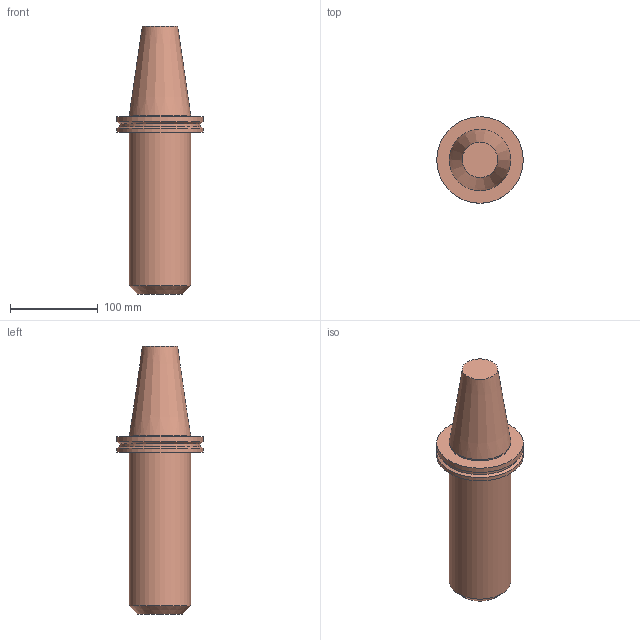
import cadquery as cq
import math

TAPER_LENGTH = 101.6
NOSE_LENGTH = 203.2

GAUGE_DIAMETER = 69.85
TAPER_RATIO = 7 / 24

FLANGE_DIAMETER = 98.43
FLANGE_TOP_DROP = 1.5
FLANGE_BOTTOM_DROP = 19.05

GROOVE_CENTER_DROP = 11.1
GROOVE_FLOOR_DIAMETER = 92.0
GROOVE_FLOOR_WIDTH = 3.4
GROOVE_WALL_ANGLE = 30

BODY_DIAMETER = GAUGE_DIAMETER
TIP_CHAMFER = 9.1

gauge_radius = GAUGE_DIAMETER / 2
small_end_radius = gauge_radius - TAPER_LENGTH * TAPER_RATIO / 2
flange_radius = FLANGE_DIAMETER / 2
groove_floor_radius = GROOVE_FLOOR_DIAMETER / 2
body_radius = BODY_DIAMETER / 2


def revolve_about_z(points):
    """Revolve a closed (radius, Z) outline about Z."""
    return cq.Workplane("XZ").polyline(points).close().revolve(360, (0, 0), (0, 1))


def make_taper():
    """Conical shank with the short cylinder that joins it to the flange."""
    return revolve_about_z([
        (0, TAPER_LENGTH),
        (small_end_radius, TAPER_LENGTH),
        (gauge_radius, 0),
        (gauge_radius, -FLANGE_TOP_DROP),
        (0, -FLANGE_TOP_DROP),
    ])


def make_flange():
    """Flange disc with the V-groove around its rim."""
    groove_depth = flange_radius - groove_floor_radius
    half_floor = GROOVE_FLOOR_WIDTH / 2
    half_mouth = half_floor + groove_depth * math.tan(math.radians(GROOVE_WALL_ANGLE))
    return revolve_about_z([
        (0, -FLANGE_TOP_DROP),
        (flange_radius, -FLANGE_TOP_DROP),
        (flange_radius, -GROOVE_CENTER_DROP + half_mouth),
        (groove_floor_radius, -GROOVE_CENTER_DROP + half_floor),
        (groove_floor_radius, -GROOVE_CENTER_DROP - half_floor),
        (flange_radius, -GROOVE_CENTER_DROP - half_mouth),
        (flange_radius, -FLANGE_BOTTOM_DROP),
        (0, -FLANGE_BOTTOM_DROP),
    ])


def make_body():
    """Cylindrical body with a 45 degree chamfer at its tip."""
    return revolve_about_z([
        (0, -FLANGE_BOTTOM_DROP),
        (body_radius, -FLANGE_BOTTOM_DROP),
        (body_radius, -NOSE_LENGTH + TIP_CHAMFER),
        (body_radius - TIP_CHAMFER, -NOSE_LENGTH),
        (0, -NOSE_LENGTH),
    ])


result = make_taper().union(make_flange()).union(make_body())